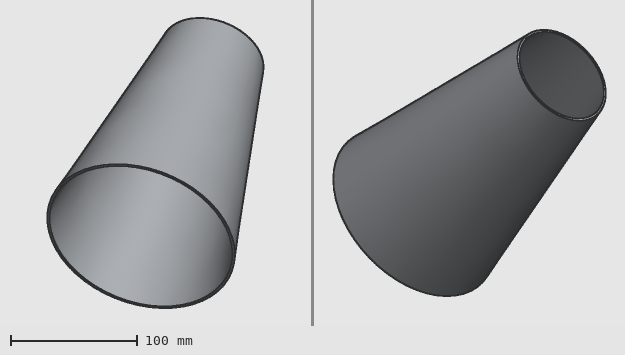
import cadquery as cq

WIDE_DIAMETER = 154.0
NARROW_DIAMETER = 84.0
LENGTH = 210.0
WALL = 2.0


def reducer_shell():
    """Revolve the slanted wall section about the Y axis."""
    wide_radius = WIDE_DIAMETER / 2
    narrow_radius = NARROW_DIAMETER / 2
    wall_section = (
        cq.Workplane("XY")
        .moveTo(wide_radius - WALL, 0)
        .lineTo(wide_radius, 0)
        .lineTo(narrow_radius, LENGTH)
        .lineTo(narrow_radius - WALL, LENGTH)
        .close()
    )
    return wall_section.revolve(360, (0, 0, 0), (0, 1, 0))


result = reducer_shell()